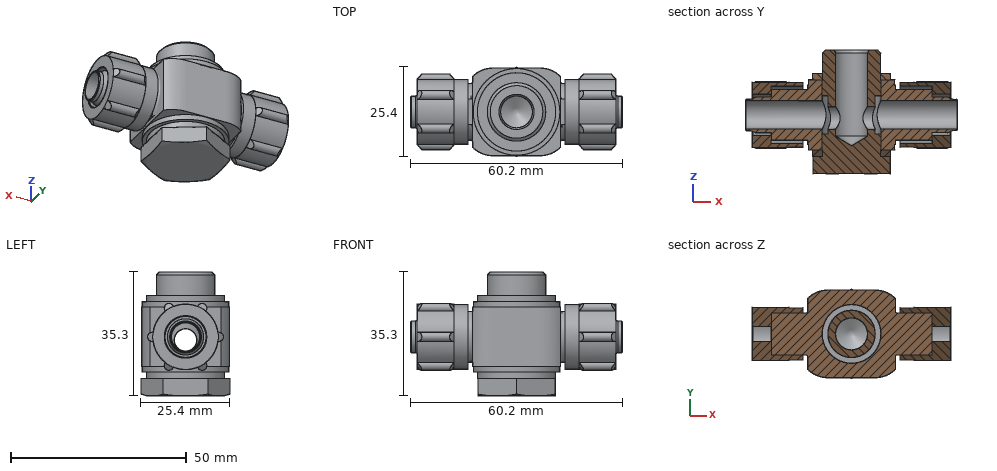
import cadquery as cq
import math

block_side = 25.0
block_height = 16.85
block_arc_start = 6.7
block_end_width = 20.1
collar_diameter = 24.6
collar_height = 1.55

neck_diameter = 16.2
neck_end = 22.9
neck_flat_width = 14.5
neck_root_fillet = 0.5
spigot_root_diameter = 10.3
spigot_diameter = 9.0
spigot_end = 30.1
spigot_straight_length = 1.3
spigot_cone_length = 1.5
spigot_tip_chamfer = 0.25
flow_bore_diameter = 8.0

shank_diameter = 16.6
shank_end = 18.5
shank_chamfer = 0.85
waist_diameter = 13.5
waist_height = 10.85
head_sides = 6
head_across_corners = 25.4
head_height = 5.0
head_chamfer_height = 0.55
bolt_bore_diameter = 9.0
bolt_bore_mouth_diameter = 10.0
bolt_bore_mouth_depth = 0.85
bolt_bore_bottom = -6.0
drill_point_angle = 118.0
cross_hole_diameter = 6.3
cross_hole_height = -0.9

ring_diameter = 22.3
ring_height = 1.8

nut_collar_diameter = 18.5
nut_grip_diameter = 18.65
nut_inner_end = 13.7
nut_grip_start = 17.7
nut_outer_end = 28.25
nut_bore_diameter = 11.6
nut_mouth_diameter = 12.1
nut_mouth_depth = 0.25
ridge_count = 6
ridge_radius = 1.3
ridge_tip_radius = 10.8
ridge_end_slope_length = 1.3

half_side = block_side / 2
collar_end = block_height / 2 + collar_height
ring_end = collar_end + ring_height
head_bottom = -ring_end - head_height
sides = (-1, 1)


def revolve_about_z(points):
    """Solid of revolution about Z from a closed (radius, z) profile."""
    return cq.Workplane("XZ").polyline(points).close().revolve(360, (0, 0, 0), (0, 1, 0))


def revolve_about_x(points):
    """Solid of revolution about X from a closed (x, radius) profile."""
    return cq.Workplane("XY").polyline(points).close().revolve(360, (0, 0, 0), (1, 0, 0))


def cylinder_z(diameter, bottom, top):
    return cq.Workplane("XY", origin=(0, 0, bottom)).circle(diameter / 2).extrude(top - bottom)


def cylinder_x(diameter, start, end):
    return cq.Workplane("YZ", origin=(start, 0, 0)).circle(diameter / 2).extrude(end - start)


def turned_to_side(body, side):
    """Body built on the +X side, turned half a turn about Z when side is -1."""
    return body if side > 0 else body.rotate((0, 0, 0), (0, 0, 1), 180)


def make_block():
    """Square block whose long sides curve in to the flat ends, tangent to the long sides."""
    half_end = block_end_width / 2
    run = half_side - block_arc_start
    drop = half_side - half_end
    radius = (run**2 + drop**2) / (2 * drop)
    half_sweep = math.asin(run / radius) / 2
    arc_x = block_arc_start + radius * math.sin(half_sweep)
    arc_y = half_side - radius * (1 - math.cos(half_sweep))
    return (
        cq.Workplane("XY", origin=(0, 0, -block_height / 2))
        .moveTo(-block_arc_start, half_side)
        .lineTo(block_arc_start, half_side)
        .threePointArc((arc_x, arc_y), (half_side, half_end))
        .lineTo(half_side, -half_end)
        .threePointArc((arc_x, -arc_y), (block_arc_start, -half_side))
        .lineTo(-block_arc_start, -half_side)
        .threePointArc((-arc_x, -arc_y), (-half_side, -half_end))
        .lineTo(-half_side, half_end)
        .threePointArc((-arc_x, arc_y), (-block_arc_start, half_side))
        .close()
        .extrude(block_height)
    )


def make_neck():
    """Round neck on the +X side with a root fillet, cut flat above and below."""
    neck_radius = neck_diameter / 2
    fillet_middle = neck_root_fillet * (1 - math.sqrt(0.5))
    neck = (
        cq.Workplane("XY")
        .moveTo(half_side, 0)
        .lineTo(half_side, neck_radius + neck_root_fillet)
        .threePointArc(
            (half_side + fillet_middle, neck_radius + fillet_middle),
            (half_side + neck_root_fillet, neck_radius),
        )
        .lineTo(neck_end, neck_radius)
        .lineTo(neck_end, 0)
        .close()
        .revolve(360, (0, 0, 0), (1, 0, 0))
    )
    return neck.intersect(cq.Workplane("XY").box(2 * spigot_end, block_side, neck_flat_width))


def make_spigot():
    """Hose spigot on the +X side: wide root, cone, and a straight tip with a broken edge."""
    tip_radius = spigot_diameter / 2
    root_radius = spigot_root_diameter / 2
    cone_outer = spigot_end - spigot_straight_length
    return revolve_about_x([
        (neck_end, 0),
        (neck_end, root_radius),
        (cone_outer - spigot_cone_length, root_radius),
        (cone_outer, tip_radius),
        (spigot_end - spigot_tip_chamfer, tip_radius),
        (spigot_end, tip_radius - spigot_tip_chamfer),
        (spigot_end, 0),
    ])


def make_housing():
    housing = make_block().union(cylinder_z(collar_diameter, -collar_end, collar_end))
    for side in sides:
        housing = housing.union(turned_to_side(make_neck().union(make_spigot()), side))
    housing = housing.cut(cylinder_x(flow_bore_diameter, -spigot_end, spigot_end))
    return housing.cut(cylinder_z(shank_diameter, -collar_end, collar_end))


def make_bolt_head():
    """Hexagonal head with corners along Y, its lower corners cut by a shallow cone."""
    corner_radius = head_across_corners / 2
    flat_radius = corner_radius * math.cos(math.pi / head_sides)
    head = (
        cq.Workplane("XY", origin=(0, 0, head_bottom))
        .polygon(head_sides, head_across_corners)
        .extrude(head_height)
        .rotate((0, 0, 0), (0, 0, 1), 180 / head_sides)
    )
    envelope = revolve_about_z([
        (0, head_bottom),
        (flat_radius, head_bottom),
        (corner_radius, head_bottom + head_chamfer_height),
        (corner_radius, -ring_end),
        (0, -ring_end),
    ])
    return head.intersect(envelope)


def make_bolt_shank():
    """Shank with a chamfered top end and a waist where the flow passes round it."""
    radius = shank_diameter / 2
    waist_radius = waist_diameter / 2
    half_waist = waist_height / 2
    return revolve_about_z([
        (0, -ring_end),
        (radius, -ring_end),
        (radius, -half_waist),
        (waist_radius, -half_waist),
        (waist_radius, half_waist),
        (radius, half_waist),
        (radius, shank_end - shank_chamfer),
        (radius - shank_chamfer, shank_end),
        (0, shank_end),
    ])


def make_bolt_bore():
    """Blind drilled bore from the top with a chamfered mouth and a drill point."""
    radius = bolt_bore_diameter / 2
    mouth_radius = bolt_bore_mouth_diameter / 2
    point_depth = radius / math.tan(math.radians(drill_point_angle / 2))
    return revolve_about_z([
        (0, bolt_bore_bottom - point_depth),
        (radius, bolt_bore_bottom),
        (radius, shank_end - bolt_bore_mouth_depth),
        (mouth_radius, shank_end),
        (0, shank_end),
    ])


def make_bolt():
    cross_hole = cylinder_x(cross_hole_diameter, -shank_diameter, shank_diameter)
    bolt = make_bolt_head().union(make_bolt_shank())
    return bolt.cut(make_bolt_bore()).cut(cross_hole.translate((0, 0, cross_hole_height)))


def make_seal_ring(bottom):
    top = bottom + ring_height
    return cylinder_z(ring_diameter, bottom, top).cut(cylinder_z(shank_diameter, bottom, top))


def make_grip_ridges():
    """Rounded ridges along the grip on the +X side, sloped down to the grip at both ends."""
    nut_radius = nut_grip_diameter / 2
    envelope = revolve_about_x([
        (nut_grip_start, 0),
        (nut_grip_start, nut_radius),
        (nut_grip_start + ridge_end_slope_length, ridge_tip_radius),
        (nut_outer_end - ridge_end_slope_length, ridge_tip_radius),
        (nut_outer_end, nut_radius),
        (nut_outer_end, 0),
    ])
    ridges = (
        cq.Workplane("YZ", origin=(nut_grip_start, 0, 0))
        .polarArray(ridge_tip_radius - ridge_radius, 0, 360, ridge_count)
        .circle(ridge_radius)
        .extrude(nut_outer_end - nut_grip_start)
    )
    return ridges.intersect(envelope)


def make_nut():
    """Nut on the +X side: bored for the hose outside, socketed for the neck inside."""
    bore_radius = nut_bore_diameter / 2
    socket_radius = neck_diameter / 2
    opening = revolve_about_x([
        (nut_inner_end, 0),
        (nut_inner_end, socket_radius),
        (neck_end, socket_radius),
        (neck_end, bore_radius),
        (nut_outer_end - nut_mouth_depth, bore_radius),
        (nut_outer_end, nut_mouth_diameter / 2),
        (nut_outer_end, 0),
    ])
    collar = cylinder_x(nut_collar_diameter, nut_inner_end, nut_grip_start)
    grip = cylinder_x(nut_grip_diameter, nut_grip_start, nut_outer_end)
    return collar.union(grip).union(make_grip_ridges()).cut(opening)


housing = make_housing()
bolt = make_bolt()
seal_rings = [make_seal_ring(bottom) for bottom in (-ring_end, collar_end)]
nuts = [turned_to_side(make_nut(), side) for side in sides]

result = cq.Compound.makeCompound(
    [housing.val(), bolt.val()]
    + [ring.val() for ring in seal_rings]
    + [nut.val() for nut in nuts]
)